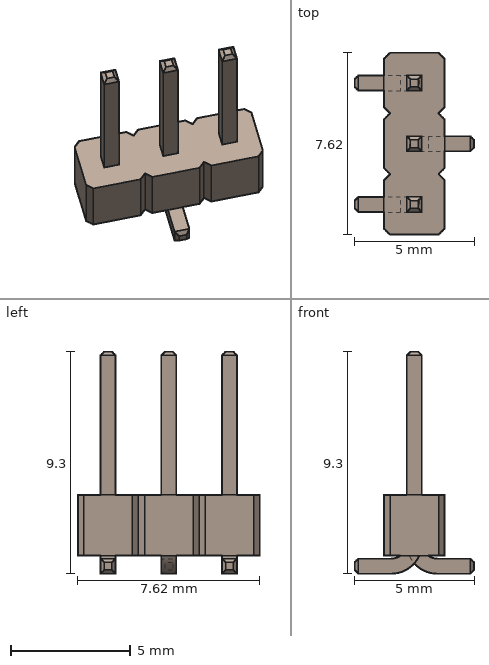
import cadquery as cq
import math

pitch = 2.54
pin_count = 3
housing_height = 2.54
corner_chamfer = pitch / 10
standoff = 0.76

pin_size = 0.64
pin_above_housing = 6.0
foot_span = 5.0
bend_inner_radius = pin_size
tip_chamfer = pin_size / 4

pin_half = pin_size / 2
bend_outer_radius = bend_inner_radius + pin_size
bend_start = bend_outer_radius - pin_half
pin_top = standoff + housing_height + pin_above_housing
foot_reach = foot_span / 2


def housing_cell(y):
    """One chamfered housing cell centred on a pin."""
    return (
        cq.Workplane("XY", origin=(0, y, standoff))
        .rect(pitch, pitch)
        .extrude(housing_height)
        .edges("|Z")
        .chamfer(corner_chamfer)
    )


def bend_middle(radius, side):
    """Midpoint of a quarter bend: 45 degrees below its centre, towards the pin axis."""
    offset = radius * math.sqrt(0.5)
    return (side * (bend_start - offset), bend_outer_radius - offset)


def pin(y, side):
    """One bent pin whose foot points along +X (side = 1) or -X (side = -1)."""
    outer_x = -side * pin_half
    inner_x = side * pin_half
    foot_start_x = side * bend_start
    foot_tip_x = side * foot_reach
    foot_end = ">X" if side > 0 else "<X"
    wire = (
        cq.Workplane("XZ", origin=(0, y, 0))
        .moveTo(foot_tip_x, 0)
        .lineTo(foot_start_x, 0)
        .threePointArc(bend_middle(bend_outer_radius, side), (outer_x, bend_outer_radius))
        .lineTo(outer_x, pin_top)
        .lineTo(inner_x, pin_top)
        .lineTo(inner_x, bend_outer_radius)
        .threePointArc(bend_middle(bend_inner_radius, side), (foot_start_x, pin_size))
        .lineTo(foot_tip_x, pin_size)
        .close()
        .extrude(pin_half, both=True)
    )
    return wire.faces(">Z").chamfer(tip_chamfer).faces(foot_end).chamfer(tip_chamfer)


result = cq.Workplane("XY")
for index in range(pin_count):
    pin_y = (index - (pin_count - 1) / 2) * pitch
    foot_side = -1 if index % 2 == 0 else 1
    result = result.union(housing_cell(pin_y)).union(pin(pin_y, foot_side))
result = result.clean()